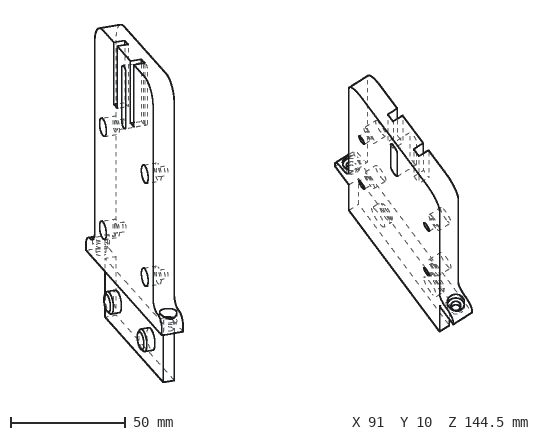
import cadquery as cq
import math

height = 144.5
thickness = 10.0
body_width = 70.0
corner_radius = 10.0
back_y = thickness / 2
front_y = -back_y

tab_height = 28.5
tab_thickness = 5.2

overall_width = 91.0
shoulder_height = 8.0
body_side = body_width / 2
ear_radius = (overall_width - body_width) / 4
ear_axis_x = body_side + ear_radius
ear_top = tab_height + shoulder_height

ear_bore_radius = 3.8
ear_bore_depth = 4.0
ear_hole_diameter = 4.3

mount_spacing = 50.0
mount_top_z = 97.4
mount_hole_diameter = 4.2
mount_bore_diameter = 8.1
mount_bore_depth = 6.0

groove_width = 4.0
groove_length = 30.0
groove_depth = 5.0
groove_spacing = 20.0
slot_width = 5.0
slot_length = 30.0
slot_top_gap = 6.0

peg_diameter = 10.0
peg_spacing = 40.0
peg_z = 14.3
peg_chamfer = 1.0


def box(x_range, y_range, z_range):
    """Box between the given limits."""
    lows, highs = zip(x_range, y_range, z_range)
    sizes = [high - low for low, high in zip(lows, highs)]
    return cq.Workplane("XY").box(*sizes, centered=False).translate(lows)


def front_cylinder(x, z, diameter, y_start, y_end):
    """Cylinder along Y from y_start back to y_end."""
    plane = cq.Workplane("XZ", origin=(x, y_start, z))
    return plane.circle(diameter / 2).extrude(y_start - y_end)


def make_body():
    """Upper body with rounded top corners."""
    body = box((-body_side, body_side), (front_y, back_y), (tab_height, height))
    return body.edges("|Y and >Z").fillet(corner_radius)


def make_tab():
    return box((-body_side, body_side), (back_y - tab_thickness, back_y), (0, tab_height))


def make_ear():
    """Right ear with a full corner block on the body side of its screw axis."""
    ear_end = overall_width / 2
    ear = box((body_side, ear_end), (front_y, back_y), (tab_height, ear_top))
    ear = ear.edges("|Y and >X and >Z").fillet(ear_radius)
    corner = box((body_side, ear_axis_x), (front_y, back_y), (ear_top, ear_top + ear_radius))
    return ear.union(corner)


def ear_fillet_cutter():
    """Space swept by a ball rolling in the corner, dipping where it meets the bore rim."""
    ball_z = ear_top + ear_radius
    straight = front_cylinder(ear_axis_x, ball_z, 2 * ear_radius, back_y, front_y)
    middle = box((body_side, ear_axis_x), (-ear_bore_radius, ear_bore_radius), (ear_top, ball_z))
    straight = straight.cut(middle)

    tilt = math.degrees(math.asin(ear_bore_radius / ear_radius))
    profile = (
        cq.Workplane("XZ", origin=(ear_axis_x, ear_bore_radius, ear_top))
        .lineTo(0, 2 * ear_radius)
        .lineTo(-ear_radius, 2 * ear_radius)
        .lineTo(-ear_radius, ear_radius)
        .radiusArc((0, 0), -ear_radius)
        .close()
    )
    pivot = profile.revolve(tilt, (0, 0, 0), (1, 0, 0))
    half_middle = box((body_side, ear_axis_x), (0, ear_bore_radius), (ear_top, ball_z))
    pivot = pivot.intersect(half_middle)
    seated_z = ear_top + math.sqrt(ear_radius**2 - ear_bore_radius**2)
    ball = cq.Workplane("XY").sphere(ear_radius).translate((ear_axis_x, 0, seated_z))
    ball = ball.intersect(middle)
    return straight, pivot, pivot.mirror("XZ"), ball


def cut_ear_screw_hole(ear):
    axis = cq.Workplane("XY", origin=(ear_axis_x, 0, ear_top))
    ear = ear.cut(axis.circle(ear_bore_radius).extrude(-ear_bore_depth))
    return ear.cut(axis.circle(ear_hole_diameter / 2).extrude(-shoulder_height))


def make_finished_ear():
    ear = make_ear()
    for cutter in ear_fillet_cutter():
        ear = ear.cut(cutter)
    return cut_ear_screw_hole(ear)


def make_peg(x):
    """Peg from the tab out to the front face, chamfered at its free end."""
    peg = front_cylinder(x, peg_z, peg_diameter, back_y, front_y)
    return peg.faces("<Y").chamfer(peg_chamfer)


def cut_mount_holes(part):
    for x in (-mount_spacing / 2, mount_spacing / 2):
        for z in (mount_top_z, mount_top_z - mount_spacing):
            part = part.cut(front_cylinder(x, z, mount_hole_diameter, back_y, front_y))
            bore_end = front_y + mount_bore_depth
            part = part.cut(front_cylinder(x, z, mount_bore_diameter, bore_end, front_y))
    return part


def cut_grooves(part):
    """Two grooves in the front face, open at the top."""
    for x in (-groove_spacing / 2, groove_spacing / 2):
        sides = (x - groove_width / 2, x + groove_width / 2)
        part = part.cut(box(sides, (front_y, front_y + groove_depth), (height - groove_length, height)))
    return part


def cut_slot(part):
    """Through slot with round ends, on the centre line."""
    slot_z = height - slot_top_gap - slot_length / 2
    plane = cq.Workplane("XZ", origin=(0, back_y, slot_z))
    return part.cut(plane.slot2D(slot_length, slot_width, 90).extrude(thickness))


ear = make_finished_ear()
result = make_body().union(make_tab()).union(ear).union(ear.mirror("YZ"))
for peg_x in (-peg_spacing / 2, peg_spacing / 2):
    result = result.union(make_peg(peg_x))
result = cut_mount_holes(result)
result = cut_grooves(result)
result = cut_slot(result)